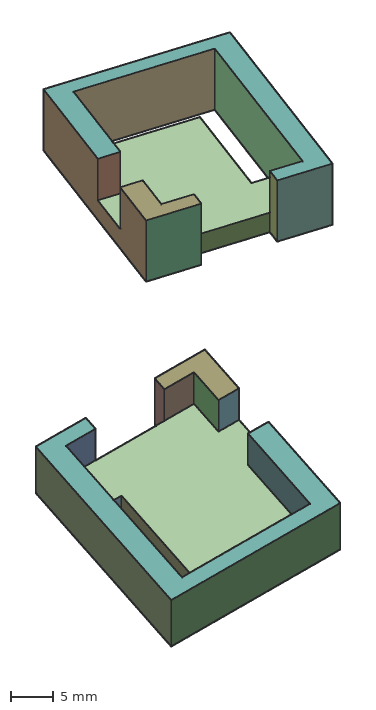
import cadquery as cq

length = 27.7
width = 24.6
height = 9.3

side_wall = 2.0
long_wall = 3.0
floor_thickness = 3.0

front_notch_start = 14.68
front_notch_width = 6.0
end_gap_width = 10.0
floor_slot_width = 3.8
floor_slot_length = 17.7

cavity_length = length - 2 * side_wall
cavity_width = width - 2 * long_wall
cavity_back = width - long_wall
wall_height = height - floor_thickness


def box_at(x, y, z, x_size, y_size, z_size):
    """Box with its lowest corner at (x, y, z)."""
    return cq.Workplane("XY").box(x_size, y_size, z_size, centered=False).translate((x, y, z))


tray = box_at(0, 0, 0, length, width, height)
tray = tray.cut(box_at(side_wall, long_wall, floor_thickness, cavity_length, cavity_width, wall_height))

front_notch = box_at(front_notch_start, 0, floor_thickness, front_notch_width, long_wall, wall_height)

end_gap = box_at(length - side_wall, (width - end_gap_width) / 2, 0, side_wall, end_gap_width, height)

floor_slot_side = box_at(side_wall, long_wall, 0, floor_slot_width, cavity_width, floor_thickness)
floor_slot_back = box_at(
    side_wall, cavity_back - floor_slot_width, 0, floor_slot_length, floor_slot_width, floor_thickness
)

result = tray.cut(front_notch).cut(end_gap).cut(floor_slot_side).cut(floor_slot_back)